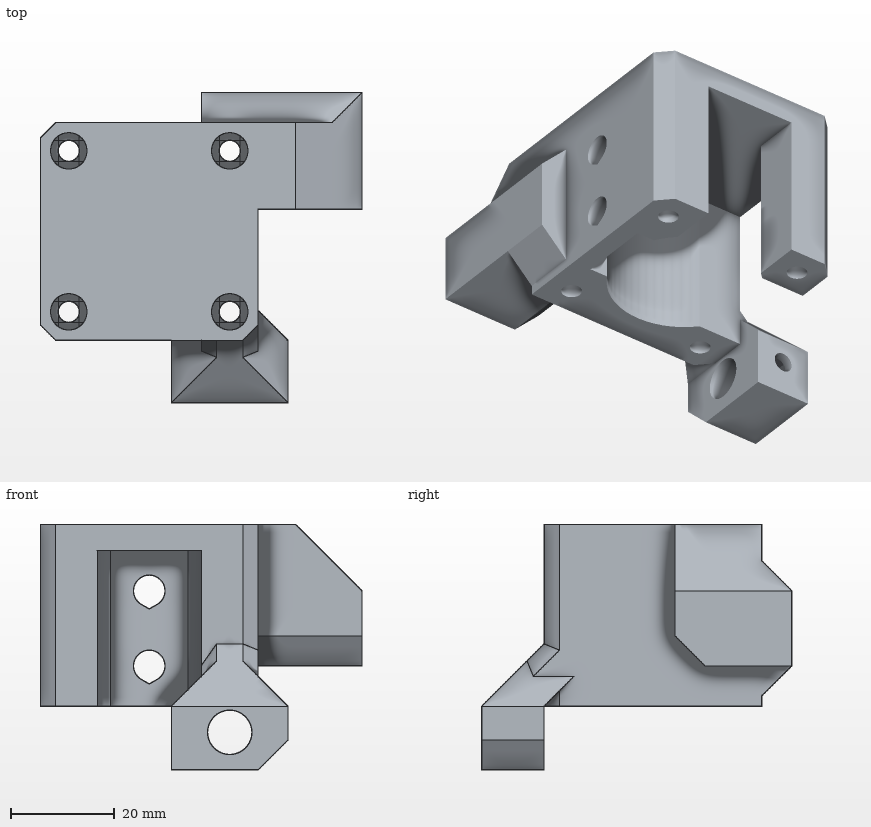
import cadquery as cq
import math

overall_length = 62.0
body_width = 42.0
body_height = 35.0
top_plate = 5.0
corner_chamfer = 3.0
center = body_width / 2
cavity_height = body_height - top_plate

bore_diameter = 30.0
slot_width = 20.0
pocket_width = 15.0
pocket_wall = 4.0

bolt_spacing = 31.0
bolt_hole_diameter = 4.0
bolt_head_diameter = 7.0
bolt_floor = 5.0
bridge_step = 0.3

rod_center = center + bolt_spacing / 2
rod_diameter = 8.5
rod_side_wall = 7.0
rod_end_wall = 3.0
holder_half_width = rod_diameter / 2 + rod_side_wall
holder_half_height = rod_diameter / 2 + rod_end_wall
holder_overhang = rod_center + holder_half_width - body_width
leg_inner = center + slot_width / 2

front_reach = 12.0
front_rod_z = -5.0
front_bottom = front_rod_z - holder_half_height
neck_root = 3.95
screw_diameter = 4.0
screw_wall = 2.0
nut_width = 7.0

side_rod_z = 15.0
side_top = side_rod_z + holder_half_height
side_bottom = side_rod_z - holder_half_height
side_front = rod_center - holder_half_width

teardrop_radius = 6.0 / 2
teardrop_slope = math.radians(30)


def box(x0, x1, y0, y1, z0, z1):
    """Axis-aligned box between two corners."""
    return cq.Workplane("XY").box(x1 - x0, y1 - y0, z1 - z0, centered=False).translate((x0, y0, z0))


def prism_along_x(points_yz, x0, x1):
    """Prism with a YZ outline running from x0 to x1."""
    return cq.Workplane("YZ").workplane(offset=x0).polyline(points_yz).close().extrude(x1 - x0)


def prism_along_y(points_xz, y0, y1):
    """Prism with an XZ outline running from y0 to y1."""
    return cq.Workplane("XZ").workplane(offset=-y0).polyline(points_xz).close().extrude(y0 - y1)


def make_body():
    """Square block; the corner that carries the side holder stays sharp."""
    block = box(0, body_width, 0, body_width, 0, body_height)
    return block.edges("|Z and (<X or <Y)").chamfer(corner_chamfer)


def make_cavity():
    """Round bore with openings to -X and -Y and a flat-backed pocket towards +Y.

    The front opening starts at the body's -Y face, so it also trims the brace of the front holder.
    """
    slot_start = center - slot_width / 2
    slot_end = center + slot_width / 2
    pocket_start = center - pocket_width / 2
    pocket_end = center + pocket_width / 2
    bore = cq.Workplane("XY").center(center, center).circle(bore_diameter / 2).extrude(cavity_height)
    left_slot = box(0, center, slot_start, slot_end, 0, cavity_height)
    front_slot = box(slot_start, slot_end, 0, center, 0, cavity_height)
    pocket = box(pocket_start, pocket_end, center, body_width - pocket_wall, 0, cavity_height)
    return bore.union(left_slot).union(front_slot).union(pocket)


def make_bolt_hole():
    """Head bore over a cross-shaped step, a square step and the shank hole, on the Z axis."""
    shank = cq.Workplane("XY").circle(bolt_hole_diameter / 2).extrude(body_height)
    head_plane = cq.Workplane("XY").workplane(offset=bolt_floor)
    head = head_plane.circle(bolt_head_diameter / 2).extrude(body_height - bolt_floor)
    cross_plane = cq.Workplane("XY").workplane(offset=bolt_floor - bridge_step)
    cross = cross_plane.rect(bolt_hole_diameter, bolt_head_diameter).extrude(bridge_step)
    cross = cross.union(cross_plane.rect(bolt_head_diameter, bolt_hole_diameter).extrude(bridge_step))
    cross = cross.intersect(cq.Workplane("XY").circle(bolt_head_diameter / 2).extrude(body_height))
    square_plane = cq.Workplane("XY").workplane(offset=bolt_floor - 2 * bridge_step)
    square = square_plane.rect(bolt_hole_diameter, bolt_hole_diameter).extrude(bridge_step)
    return shank.union(head).union(cross).union(square)


def make_teardrop(z):
    """Teardrop hole through the +Y wall, its point towards -Z."""
    tangent_x = teardrop_radius * math.sin(teardrop_slope)
    tangent_z = z - teardrop_radius * math.cos(teardrop_slope)
    tip_z = z - teardrop_radius / math.cos(teardrop_slope)
    outline = (
        cq.Workplane("XZ").workplane(offset=-body_width)
        .moveTo(center - tangent_x, tangent_z)
        .threePointArc((center, z + teardrop_radius), (center + tangent_x, tangent_z))
        .lineTo(center, tip_z)
        .close()
    )
    return outline.extrude(body_width - center)


def make_front_holder():
    """Rod block below the body, joined to the front leg by a hipped 45-degree brace and a neck."""
    left = rod_center - holder_half_width
    right = rod_center + holder_half_width
    block_outline = [
        (left, 0),
        (left, front_bottom),
        (right - holder_overhang, front_bottom),
        (right, front_bottom + holder_overhang),
        (right, 0),
    ]
    block = prism_along_y(block_outline, -front_reach, 0)

    rise = holder_half_width
    lean = prism_along_x([(-front_reach, 0), (0, 0), (rise, rise), (rise - front_reach, rise)], left, right)
    gable = prism_along_y([(left, 0), (right, 0), (rod_center, rise)], -front_reach, rise)
    brace = lean.intersect(gable)

    neck_outline = [(-front_reach, 0), (0, 0), (neck_root, neck_root), (neck_root, neck_root + front_reach)]
    neck = prism_along_x(neck_outline, leg_inner, body_width)
    neck = neck.faces("<(0, 1, -1)").edges("not |X").chamfer(corner_chamfer)
    return block.union(brace).union(neck)


def make_front_holder_bores():
    """Rod bore along Y, and a clamping-screw hole from -X with a square nut pocket open to the bore."""
    left = rod_center - holder_half_width
    screw_y = -front_reach / 2
    rod = cq.Workplane("XZ").center(rod_center, front_rod_z).circle(rod_diameter / 2).extrude(front_reach)
    side_plane = cq.Workplane("YZ").workplane(offset=left).center(screw_y, front_rod_z)
    screw = side_plane.circle(screw_diameter / 2).extrude(holder_half_width)
    nut_plane = side_plane.workplane(offset=screw_wall)
    nut = nut_plane.rect(nut_width, nut_width).extrude(holder_half_width - screw_wall)
    return rod.union(screw).union(nut)


def make_side_holder():
    """Rod block at +X, +Y with 45-degree slopes up to the body top and a gusset under its +Y rim."""
    back = rod_center + holder_half_width
    slope_run = body_height - side_top
    end_outline = [
        (leg_inner, side_bottom),
        (overall_length, side_bottom),
        (overall_length, side_top),
        (overall_length - slope_run, body_height),
        (leg_inner, body_height),
    ]
    side_outline = [
        (side_front + holder_overhang, side_bottom),
        (side_front, side_bottom + holder_overhang),
        (side_front, body_height),
        (body_width, body_height),
        (body_width, side_top + holder_overhang),
        (back, side_top),
        (back, side_bottom),
    ]
    ends = prism_along_y(end_outline, side_front, back)
    block = ends.intersect(prism_along_x(side_outline, leg_inner, overall_length))
    gusset_foot = side_bottom - holder_overhang
    gusset_outline = [(back, side_bottom), (body_width, side_bottom), (body_width, gusset_foot)]
    return block.union(prism_along_x(gusset_outline, leg_inner, body_width))


result = make_body().union(make_side_holder()).union(make_front_holder())
result = result.cut(make_cavity()).cut(make_front_holder_bores())

bolt_hole = make_bolt_hole()
for bolt_x in (center - bolt_spacing / 2, rod_center):
    for bolt_y in (center - bolt_spacing / 2, rod_center):
        result = result.cut(bolt_hole.translate((bolt_x, bolt_y, 0)))

for hole_z in (side_bottom, side_top):
    result = result.cut(make_teardrop(hole_z))